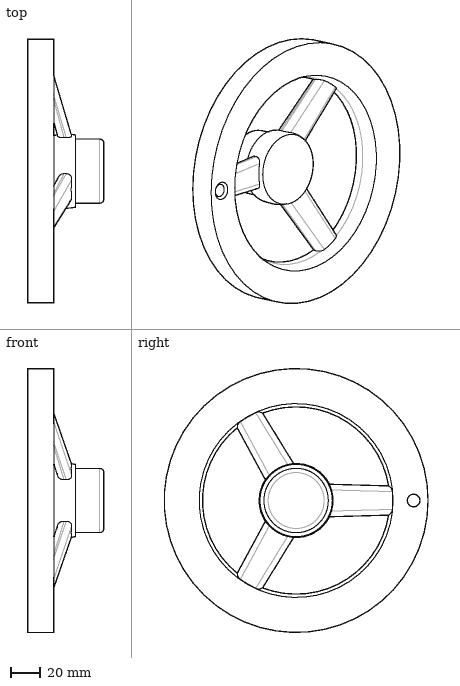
import cadquery as cq

rim_diameter = 180.0
rim_width = 18.0
bore_front_radius = 67.5
bore_step_radius = 64.6
bore_step_x = 10.3
bore_throat_radius = 63.7
bore_back_chamfer = 2.3

hub_front_x = 17.1
hub_front_radius = 24.1
hub_bulge_radius = 25.4
hub_back_radius = 24.7
shoulder_x = 32.8
bulge_x = (hub_front_x + shoulder_x) / 2
boss_radius = 44.0 / 2
boss_end_x = 52.0
boss_round = 2.9

spoke_count = 3
spoke_inner_radius = 16.2
spoke_outer_radius = 68.4
spoke_inner_width = 22.7
spoke_outer_width = 19.8
spoke_inner_thickness = 9.9
spoke_outer_thickness = 8.6
spoke_back_x = 32.4
spoke_drop = 15.5
spoke_edge_radius = 4.0

handle_radius = 80.1
handle_hole_diameter = 8.5
handle_sink_diameter = 11.9
handle_sink_depth = (handle_sink_diameter - handle_hole_diameter) / 2


def turned(outline):
    """Revolve a closed XY outline around the X axis."""
    return outline.close().revolve(360, (0, 0, 0), (1, 0, 0))


def make_rim():
    outer_radius = rim_diameter / 2
    return turned(
        cq.Workplane("XY")
        .moveTo(0, bore_front_radius)
        .lineTo(0, outer_radius)
        .lineTo(rim_width, outer_radius)
        .lineTo(rim_width, bore_throat_radius + bore_back_chamfer)
        .lineTo(rim_width - bore_back_chamfer, bore_throat_radius)
        .lineTo(bore_step_x, bore_step_radius)
    )


def make_hub():
    return turned(
        cq.Workplane("XY")
        .moveTo(hub_front_x, 0)
        .lineTo(hub_front_x, hub_front_radius)
        .threePointArc((bulge_x, hub_bulge_radius), (shoulder_x, hub_back_radius))
        .lineTo(shoulder_x, boss_radius)
        .lineTo(boss_end_x - boss_round, boss_radius)
        .tangentArcPoint((boss_end_x, boss_radius - boss_round), relative=False)
        .lineTo(boss_end_x, 0)
    )


def make_spoke():
    """Sloping, tapered, round-edged spoke along +Y."""
    outer_back_x = spoke_back_x - spoke_drop
    inner_front_x = spoke_back_x - spoke_inner_thickness
    slab = (
        cq.Workplane("XY")
        .moveTo(inner_front_x, spoke_inner_radius)
        .lineTo(spoke_back_x, spoke_inner_radius)
        .lineTo(outer_back_x, spoke_outer_radius)
        .lineTo(outer_back_x - spoke_outer_thickness, spoke_outer_radius)
        .close()
        .extrude(spoke_inner_width / 2, both=True)
    )
    taper = (
        cq.Workplane("YZ")
        .moveTo(spoke_inner_radius, -spoke_inner_width / 2)
        .lineTo(spoke_inner_radius, spoke_inner_width / 2)
        .lineTo(spoke_outer_radius, spoke_outer_width / 2)
        .lineTo(spoke_outer_radius, -spoke_outer_width / 2)
        .close()
        .extrude(boss_end_x)
    )
    return slab.intersect(taper).edges("not(#Y)").fillet(spoke_edge_radius)


def make_handle_hole():
    hole_radius = handle_hole_diameter / 2
    profile = (
        cq.Workplane("XY")
        .lineTo(0, handle_sink_diameter / 2)
        .lineTo(handle_sink_depth, hole_radius)
        .lineTo(rim_width, hole_radius)
        .lineTo(rim_width, 0)
    )
    return turned(profile).translate((0, handle_radius, 0))


result = make_rim().union(make_hub())
spoke = make_spoke()
for index in range(spoke_count):
    angle = index * 360 / spoke_count
    result = result.union(spoke.rotate((0, 0, 0), (1, 0, 0), angle))
result = result.cut(make_handle_hole())